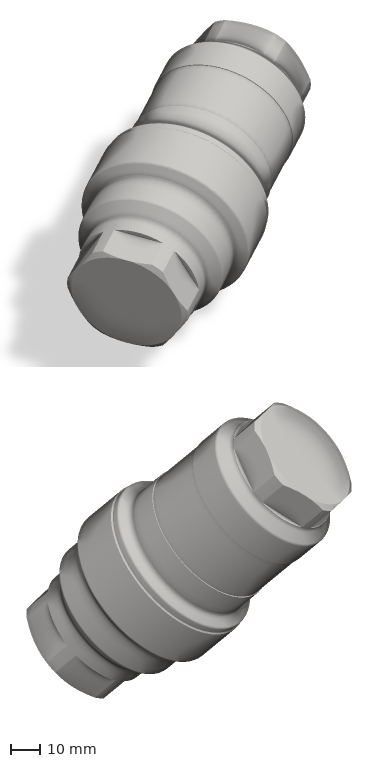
import cadquery as cq

length = 120.0
back_end = length / 2
front_end = -length / 2

hex_sides = 6
across_flats = 40.1
end_radius = 22.0
flat_length = 12.0
end_chamfer_length = 1.2
end_face_radius = across_flats / 2

sleeve_radius = 25.9
relief_radius = 25.5
sleeve_back = 43.3
relief_back = 31.7
relief_front = 10.7
sleeve_front = 0.1
sleeve_taper = sleeve_radius - end_radius

collar_radius = 30.5
lip_radius = 30.0
lip_taper_length = 2.6
lip_back = sleeve_front - lip_taper_length
lip_front = -5.0
collar_back = lip_front - (collar_radius - lip_radius)
collar_front = -22.9
collar_taper_length = 2.8

neck_radius = 26.3
neck_back = collar_front - collar_taper_length
neck_front = -37.0
neck_taper = neck_radius - end_radius

blend_radius = 1.0


def turned_body():
    """Solid of revolution about Y, from (radius, y) points, back to front."""
    outline = [
        (0, back_end),
        (end_face_radius, back_end),
        (end_radius, back_end - end_chamfer_length),
        (end_radius, sleeve_back + sleeve_taper),
        (sleeve_radius, sleeve_back),
        (sleeve_radius, relief_back),
        (relief_radius, relief_back),
        (relief_radius, relief_front),
        (sleeve_radius, relief_front),
        (sleeve_radius, sleeve_front),
        (lip_radius, lip_back),
        (lip_radius, lip_front),
        (collar_radius, collar_back),
        (collar_radius, collar_front),
        (neck_radius, neck_back),
        (neck_radius, neck_front),
        (end_radius, neck_front - neck_taper),
        (end_radius, front_end + end_chamfer_length),
        (end_face_radius, front_end),
        (0, front_end),
    ]
    return cq.Workplane("XY").polyline(outline).close().revolve(360, (0, 0, 0), (0, 1, 0))


def round_shoulders(body):
    """Blend both ends of every cone between two cylinders."""
    shoulders = [
        (end_radius, sleeve_back + sleeve_taper),
        (sleeve_radius, sleeve_back),
        (sleeve_radius, sleeve_front),
        (lip_radius, lip_back),
        (collar_radius, collar_front),
        (neck_radius, neck_back),
        (neck_radius, neck_front),
        (end_radius, neck_front - neck_taper),
    ]
    tolerance = 0.01
    for radius, y in shoulders:
        reach = radius + tolerance
        around_edge = cq.selectors.BoxSelector(
            (-reach, y - tolerance, -reach),
            (reach, y + tolerance, reach),
            boundingbox=True,
        )
        body = body.edges(around_edge).fillet(blend_radius)
    return body


def hex_flats(y_start):
    """Ring of material outside a hexagon, flats facing +Z and -Z."""
    half_hex_step = 180 / hex_sides
    stock_radius = 2 * end_radius
    return (
        cq.Workplane("XZ", origin=(0, y_start, 0))
        .transformed(rotate=(0, 0, half_hex_step))
        .circle(stock_radius)
        .polygon(hex_sides, across_flats, circumscribed=True)
        .extrude(-flat_length)
    )


body = round_shoulders(turned_body())
for y_start in (front_end, back_end - flat_length):
    body = body.cut(hex_flats(y_start))

result = body